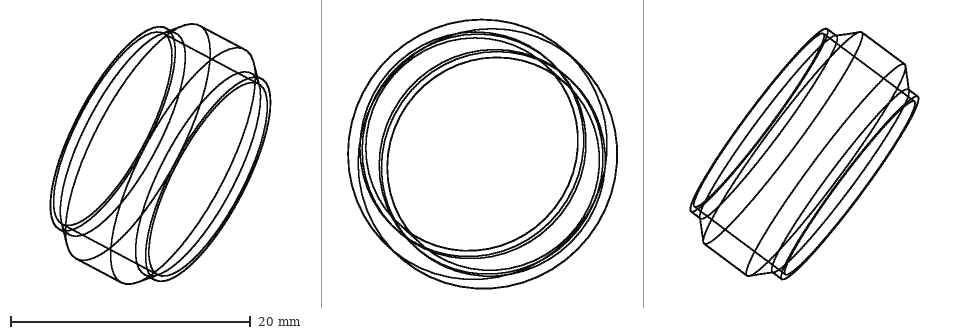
import cadquery as cq

outer_diameter = 22.0
collar_diameter = 19.0
bore_diameter = 18.0
total_length = 9.5
collar_length = 1.0
cone_length = 1.5

outer_radius = outer_diameter / 2
collar_radius = collar_diameter / 2
bore_radius = bore_diameter / 2
end_x = total_length / 2
cone_foot_x = end_x - collar_length
cone_top_x = cone_foot_x - cone_length


def ring():
    """Ring with a raised central band, conical shoulders and a thin collar at each end."""
    half_section = [
        (-end_x, bore_radius),
        (-end_x, collar_radius),
        (-cone_foot_x, collar_radius),
        (-cone_top_x, outer_radius),
        (cone_top_x, outer_radius),
        (cone_foot_x, collar_radius),
        (end_x, collar_radius),
        (end_x, bore_radius),
    ]
    axis_start = (0, 0)
    axis_end = (1, 0)
    return cq.Workplane("XY").polyline(half_section).close().revolve(360, axis_start, axis_end)


result = ring()